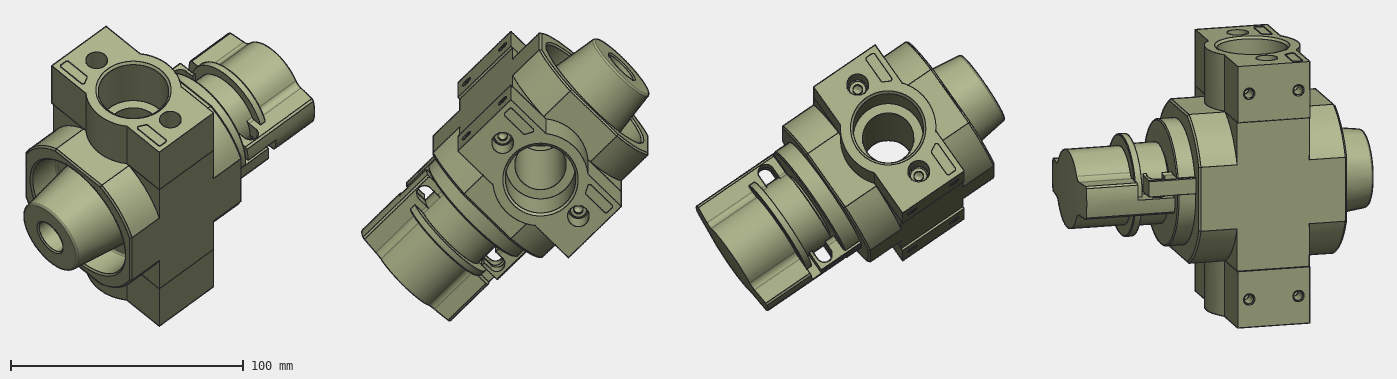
import cadquery as cq
import math


body_half = 33.0
body_corner_radius = 35.9
body_chamfer = 0.8
block_depth = 32.2
block_half_depth = block_depth / 2
flow_bore_diameter = 22.0

pit_diameter = 58.0
pit_floor_y = -18.0
pit_chamfer = 0.8
pit_floor_fillet = 0.9

collar_radius = 27.5
collar_end_y = 41.0
collar_chamfer = 0.5
tab_outer_x = 27.6
tab_end_y = 53.8
tab_bottom_z = 1.2
tab_top_z = 8.4
tab_hub_clearance = 0.4
tab_lip_start_x = 20.2
tab_lip_height = 0.8
tab_lip_radius = 3.3
tab_chamfer = 0.4

slot_width = 6.9
slot_center_y = 48.9
tab_slot_outer_x = 25.7
wing_slot_outer_x = 24.9

overall_height = 116.0
plate_outer_z = overall_height / 2
plate_min_x = -34.1
bulge_radius = 20.5
port_diameter = 30.2
port_chamfer = 1.0

label_outer_x = 31.2
label_inner_top_x = 18.5
label_inner_bottom_x = 16.2
label_top_y = -9.1
label_bottom_y = -13.7
label_depth = 0.3
label_corner_radius = 0.9

mount_hole_diameter = 4.1
mount_hole_chamfer = 0.46
mount_hole_depth = 8.0
mount_hole_y = 11.0
mount_hole_z = 45.6
drill_tip_angle = 118.0

screw_spacing = 46.0
screw_x = screw_spacing / 2
screw_counterbore_diameter = 9.3
screw_head_diameter = 8.5
screw_head_chamfer = 0.73
screw_head_top_z = 46.4
screw_head_height = 5.3
screw_shank_diameter = 5.0
screw_tip_z = 19.9
socket_diameter = 4.1
socket_depth = 2.0

silencer_base_radius = 21.2
silencer_foot_radius = 22.0
silencer_foot_height = 0.8
silencer_tip_radius = 16.8
silencer_tip_y = -49.5
silencer_tip_fillet = 0.9
silencer_hole_diameter = 15.0
silencer_hole_chamfer = 0.7
silencer_hole_depth = 21.2

knob_neck_radius = 15.0
knob_start_y = 42.2
knob_lower_radius = 17.6
flange_radius = 22.1
flange_start_y = 55.4
flange_end_y = 58.6
flange_chamfer = 0.4
knob_upper_radius = 17.1
knob_end_y = 83.1
knob_dome_radius = 238.6
wing_tip_radius = 27.2
wing_half_thickness = 7.3
wing_chamfer = 0.8
upper_wing_fillet = 4.0
lower_wing_fillet = 1.3


def y_cylinder(radius, start_y, end_y):
    """Cylinder about the valve axis between two Y positions."""
    return cq.Workplane("XZ", origin=(0, start_y, 0)).circle(radius).extrude(start_y - end_y)


def z_cylinder(diameter, bottom_z, top_z, x=0.0):
    """Cylinder parallel to the flow axis."""
    base = cq.Workplane("XY", origin=(x, 0, bottom_z))
    return base.circle(diameter / 2).extrude(top_z - bottom_z)


def box(min_x, max_x, min_y, max_y, min_z, max_z):
    """Box given by its limits."""
    size = (max_x - min_x, max_y - min_y, max_z - min_z)
    return cq.Workplane("XY").box(*size, centered=False).translate((min_x, min_y, min_z))


def drill(diameter, depth):
    """Blind drill hole along -Z from the origin, with a conical tip."""
    radius = diameter / 2
    tip_height = radius / math.tan(math.radians(drill_tip_angle / 2))
    half_section = cq.Workplane("XZ").polyline(
        [(0, 0), (radius, 0), (radius, -depth), (0, -depth - tip_height)]
    )
    return half_section.close().revolve(360, (0, 0, 0), (0, 1, 0))


def half_turn(shape):
    """Copy turned by half a turn about the valve axis."""
    return shape.rotate((0, 0, 0), (0, 1, 0), 180)


def padlock_slot(outer_x):
    """Round-ended slot through both sides, outside the hub of the knob."""
    slot = cq.Workplane("XY", origin=(0, slot_center_y, -tab_outer_x))
    slot = slot.slot2D(2 * outer_x, slot_width).extrude(2 * tab_outer_x)
    return slot.cut(y_cylinder(knob_lower_radius, knob_start_y, flange_start_y))


def make_lock_tab():
    """Slotted tab on the -X side of the collar, with a lip that curves up beside the knob."""
    inner_x = knob_lower_radius + tab_hub_clearance
    tab = (
        cq.Workplane("XZ", origin=(0, body_half, 0))
        .moveTo(-tab_outer_x, tab_bottom_z)
        .lineTo(-tab_outer_x, tab_top_z - tab_chamfer)
        .lineTo(-tab_outer_x + tab_chamfer, tab_top_z)
        .lineTo(-tab_lip_start_x, tab_top_z)
        .radiusArc((-inner_x, tab_top_z + tab_lip_height), -tab_lip_radius)
        .lineTo(-inner_x, tab_bottom_z)
        .close()
        .extrude(body_half - tab_end_y)
    )
    return tab.cut(padlock_slot(tab_slot_outer_x))


def make_exhaust_pit():
    """Pit with a rounded floor edge and a chamfered mouth."""
    radius = pit_diameter / 2
    pit = y_cylinder(radius, -body_half, pit_floor_y).faces(">Y").edges().fillet(pit_floor_fillet)
    mouth = cq.Workplane("XZ", origin=(0, -body_half, 0)).circle(radius + pit_chamfer)
    mouth = mouth.workplane(offset=-pit_chamfer).circle(radius).loft()
    return pit.union(mouth)


def make_housing():
    side = 2 * body_half
    housing = cq.Workplane("XY").box(side, side, side)
    rounded = y_cylinder(body_corner_radius, -body_half, body_half)
    housing = housing.intersect(rounded).faces("<Y or >Y").chamfer(body_chamfer)
    housing = housing.union(cq.Workplane("XY").box(side, 2 * block_half_depth, side))
    collar = y_cylinder(collar_radius, body_half, collar_end_y)
    housing = housing.union(collar.faces(">Y").chamfer(collar_chamfer))
    lock_tab = make_lock_tab()
    housing = housing.union(lock_tab).union(half_turn(lock_tab))
    housing = housing.cut(make_exhaust_pit())
    housing = housing.cut(z_cylinder(flow_bore_diameter, -body_half, body_half))
    for x in (-screw_x, screw_x):
        upper_hole = z_cylinder(screw_shank_diameter, screw_tip_z, body_half, x)
        housing = housing.cut(upper_hole).cut(half_turn(upper_hole))
    return housing


def make_label_recess():
    """Flat recess with one slanted end, to the +X side of X = 0."""
    outline = cq.Workplane("XY", origin=(0, 0, plate_outer_z)).polyline([
        (label_inner_bottom_x, label_bottom_y),
        (label_outer_x, label_bottom_y),
        (label_outer_x, label_top_y),
        (label_inner_top_x, label_top_y),
    ])
    return outline.close().extrude(-label_depth).edges("|Z").fillet(label_corner_radius)


def make_mount_hole():
    """Blind hole with a countersunk mouth, in the -X face."""
    mouth_radius = mount_hole_diameter / 2 + mount_hole_chamfer
    mouth = cq.Workplane("XY").circle(mouth_radius)
    mouth = mouth.workplane(offset=-mount_hole_chamfer).circle(mount_hole_diameter / 2).loft()
    hole = drill(mount_hole_diameter, mount_hole_depth).union(mouth)
    return hole.rotate((0, 0, 0), (0, 1, 0), -90).translate((plate_min_x, 0, mount_hole_z))


def make_port_plate():
    """Plate on top of the housing."""
    plate = box(
        plate_min_x, body_half, -block_half_depth, block_half_depth, body_half, plate_outer_z
    )
    plate = plate.union(z_cylinder(2 * bulge_radius, body_half, plate_outer_z))
    plate = plate.cut(z_cylinder(port_diameter, body_half, plate_outer_z))
    port_mouth = cq.Workplane("XY", origin=(0, 0, plate_outer_z))
    port_mouth = port_mouth.circle(port_diameter / 2 + port_chamfer)
    port_mouth = port_mouth.workplane(offset=-port_chamfer).circle(port_diameter / 2).loft()
    plate = plate.cut(port_mouth)
    head_seat_z = screw_head_top_z - screw_head_height
    for x in (-screw_x, screw_x):
        plate = plate.cut(z_cylinder(screw_shank_diameter, body_half, plate_outer_z, x))
        plate = plate.cut(z_cylinder(screw_counterbore_diameter, head_seat_z, plate_outer_z, x))
    for y in (-mount_hole_y, mount_hole_y):
        plate = plate.cut(make_mount_hole().translate((0, y, 0)))
    label_recess = make_label_recess()
    label_pair = label_recess.union(label_recess.mirror("YZ"))
    return plate.cut(label_pair.translate(((plate_min_x + body_half) / 2, 0, 0)))


def make_screw(x):
    """Screw of the top plate at the given X."""
    head_seat_z = screw_head_top_z - screw_head_height
    head = z_cylinder(screw_head_diameter, head_seat_z, screw_head_top_z, x)
    head = head.faces(">Z").chamfer(screw_head_chamfer)
    screw = head.union(z_cylinder(screw_shank_diameter, screw_tip_z, head_seat_z, x))
    return screw.cut(drill(socket_diameter, socket_depth).translate((x, 0, screw_head_top_z)))


def make_silencer():
    """Cone that stands on the pit floor, with a blind hole in its tip."""
    foot_y = pit_floor_y - silencer_foot_height
    half_section = cq.Workplane("XY").polyline([
        (0, pit_floor_y),
        (silencer_foot_radius, pit_floor_y),
        (silencer_base_radius, foot_y),
        (silencer_tip_radius, silencer_tip_y),
        (0, silencer_tip_y),
    ])
    cone = half_section.close().revolve(360, (0, 0, 0), (0, 1, 0))
    cone = cone.faces("<Y").edges().fillet(silencer_tip_fillet)
    hole_end_y = silencer_tip_y + silencer_hole_depth
    cone = cone.cut(y_cylinder(silencer_hole_diameter / 2, silencer_tip_y, hole_end_y))
    mouth = cone.faces("<Y").edges(cq.selectors.RadiusNthSelector(0))
    return mouth.chamfer(silencer_hole_chamfer)


def make_wing(hub_radius, fillet_radius, start_y, end_y):
    """Wing on the +X side, blended into the hub by concave fillets."""
    fillet_center_z = wing_half_thickness + fillet_radius
    fillet_center_x = math.sqrt((hub_radius + fillet_radius) ** 2 - fillet_center_z**2)
    hub_share = hub_radius / (hub_radius + fillet_radius)
    hub_x = fillet_center_x * hub_share
    hub_z = fillet_center_z * hub_share
    flat_z = wing_half_thickness
    tip_corner_x = math.sqrt(wing_tip_radius**2 - flat_z**2) - wing_chamfer
    edge_z = flat_z - wing_chamfer
    edge_x = math.sqrt(wing_tip_radius**2 - edge_z**2)
    wing = (
        cq.Workplane("XZ", origin=(0, start_y, 0))
        .moveTo(0, hub_z)
        .lineTo(hub_x, hub_z)
        .radiusArc((fillet_center_x, flat_z), -fillet_radius)
        .lineTo(tip_corner_x, flat_z)
        .lineTo(edge_x, edge_z)
        .threePointArc((wing_tip_radius, 0), (edge_x, -edge_z))
        .lineTo(tip_corner_x, -flat_z)
        .lineTo(fillet_center_x, -flat_z)
        .radiusArc((hub_x, -hub_z), -fillet_radius)
        .lineTo(0, -hub_z)
        .close()
    )
    return wing.extrude(start_y - end_y)


def make_knob():
    knob = y_cylinder(knob_neck_radius, collar_end_y, knob_start_y)
    knob = knob.union(y_cylinder(knob_lower_radius, knob_start_y, flange_start_y))
    flange = y_cylinder(flange_radius, flange_start_y, flange_end_y)
    knob = knob.union(flange.faces(">Y").chamfer(flange_chamfer))
    knob = knob.union(y_cylinder(knob_upper_radius, flange_end_y, knob_end_y))

    upper_wing = make_wing(knob_upper_radius, upper_wing_fillet, flange_end_y, knob_end_y)
    lower_wing = make_wing(knob_lower_radius, lower_wing_fillet, knob_start_y, flange_end_y)
    tab_side = box(0, tab_outer_x, knob_start_y, flange_end_y, -tab_outer_x, 0)
    lower_wing = lower_wing.cut(tab_side).cut(padlock_slot(wing_slot_outer_x))
    wing = upper_wing.union(lower_wing)
    knob = knob.union(wing).union(half_turn(wing))

    dome = cq.Workplane("XY").sphere(knob_dome_radius).translate((0, knob_end_y - knob_dome_radius, 0))
    return knob.intersect(dome)


housing = make_housing()
top_plate = make_port_plate()
bottom_plate = top_plate.mirror("XY")
silencer = make_silencer()
knob = make_knob()

screws = []
for x in (-screw_x, screw_x):
    top_screw = make_screw(x)
    screws.append(top_screw.val())
    screws.append(half_turn(top_screw).val())

result = cq.Compound.makeCompound([
    housing.val(),
    top_plate.val(),
    bottom_plate.val(),
    silencer.val(),
    knob.val(),
    *screws,
])